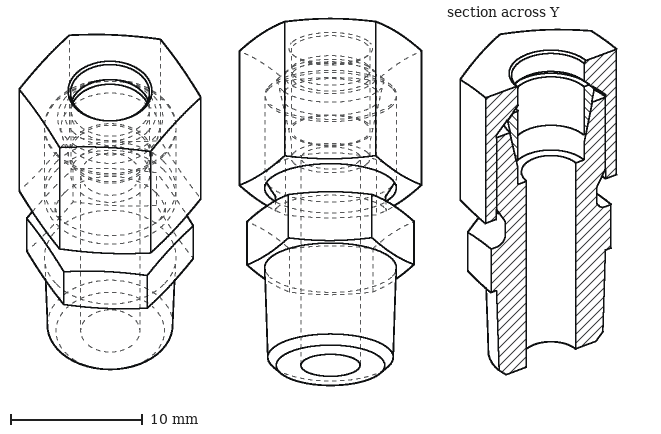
import cadquery as cq
import math


total_height = 26
body_hex_bottom = 8.0
body_hex_top = 12.0
nut_bottom = 14.5
body_top = 22.0

hex_half_angle = 30
nut_corners = 13.85
nut_flats = nut_corners * math.cos(math.radians(hex_half_angle))
body_hex_flats = 11.0
hex_chamfer_angle = 15

taper_top_radius = 10.0 / 2
taper_on_diameter = 1 / 16
foot_chamfer = 0.65
foot_edge_radius = taper_top_radius - (body_hex_bottom - foot_chamfer) * taper_on_diameter / 2
foot_radius = foot_edge_radius - foot_chamfer

thread_radius = 10.0 / 2
neck_radius = 8.4 / 2
neck_fillet = thread_radius - neck_radius
neck_length = 1.0
runout_angle = math.radians(30)

through_radius = 4.5 / 2
tube_radius = 6.0 / 2
tube_stop_height = 17.0
nut_bore_chamfer = 0.18
nut_bore_length = 1.82

ring_top_radius = 7.0 / 2
ring_max_radius = 8.0 / 2
ring_end_radius = 6.35 / 2
seat_slope = math.tan(math.radians(12))
clamp_cone_top = total_height - nut_bore_length
ring_top = clamp_cone_top - (ring_top_radius - tube_radius)
ring_shoulder = ring_top - (ring_max_radius - ring_top_radius)


def seat_height(radius):
    """Height at which the 24 degree seat cone has the given radius."""
    return ring_shoulder - (ring_max_radius - radius) / seat_slope


def seat_radius(height):
    """Radius of the 24 degree seat cone at the given height."""
    return ring_max_radius - (ring_shoulder - height) * seat_slope


def turn(profile):
    """Revolve a closed radius-height profile about the Z axis."""
    return profile.close().revolve(360, (0, 0, 0), (0, 1, 0))


def chamfered_hexagon(flats, bottom, top):
    """Hexagonal prism with corners on Y, its corners cut by a cone at both ends."""
    flat_radius = flats / 2
    corner_radius = flat_radius / math.cos(math.radians(hex_half_angle))
    drop = (corner_radius - flat_radius) * math.tan(math.radians(hex_chamfer_angle))
    prism = (
        cq.Workplane("XY", origin=(0, 0, bottom))
        .polygon(6, 2 * corner_radius)
        .extrude(top - bottom)
        .rotate((0, 0, 0), (0, 0, 1), hex_half_angle)
    )
    envelope = turn(
        cq.Workplane("XZ")
        .moveTo(0, bottom)
        .lineTo(flat_radius, bottom)
        .lineTo(corner_radius, bottom + drop)
        .lineTo(corner_radius, top - drop)
        .lineTo(flat_radius, top)
        .lineTo(0, top)
    )
    return prism.intersect(envelope)


def make_foot():
    """Taper-threaded foot below the body hexagon."""
    return turn(
        cq.Workplane("XZ")
        .lineTo(foot_radius, 0)
        .lineTo(foot_edge_radius, foot_chamfer)
        .lineTo(taper_top_radius, body_hex_bottom)
        .lineTo(0, body_hex_bottom)
    )


def make_threaded_neck():
    """Thread for the nut; the groove below it has a lower fillet and a sloping run-out."""
    neck_bottom = body_hex_top + neck_fillet
    neck_top = neck_bottom + neck_length

    def upper_fillet(angle):
        return (
            thread_radius - neck_fillet * math.cos(angle),
            neck_top + neck_fillet * math.sin(angle),
        )

    runout_start_radius, runout_start = upper_fillet(runout_angle)
    runout_end = runout_start + (thread_radius - runout_start_radius) / math.tan(runout_angle)
    return turn(
        cq.Workplane("XZ")
        .moveTo(0, body_hex_top)
        .lineTo(thread_radius, body_hex_top)
        .radiusArc((neck_radius, neck_bottom), neck_fillet)
        .lineTo(neck_radius, neck_top)
        .threePointArc(upper_fillet(runout_angle / 2), (runout_start_radius, runout_start))
        .lineTo(thread_radius, runout_end)
        .lineTo(thread_radius, body_top)
        .lineTo(0, body_top)
    )


def make_body_bore():
    """Through bore, tube socket and conical mouth, as one solid to cut away."""
    return turn(
        cq.Workplane("XZ")
        .lineTo(through_radius, 0)
        .lineTo(through_radius, tube_stop_height)
        .lineTo(tube_radius, tube_stop_height)
        .lineTo(tube_radius, seat_height(tube_radius))
        .lineTo(seat_radius(body_top), body_top)
        .lineTo(0, body_top)
    )


def make_body():
    """Foot, hexagon and threaded neck in one piece, bored through."""
    hexagon = chamfered_hexagon(body_hex_flats, body_hex_bottom, body_hex_top)
    return make_foot().union(hexagon).union(make_threaded_neck()).cut(make_body_bore())


def make_cutting_ring():
    """Ring with a 45 degree shoulder for the nut and a taper that sits in the body's mouth."""
    return turn(
        cq.Workplane("XZ")
        .moveTo(tube_radius, seat_height(ring_end_radius))
        .lineTo(ring_end_radius, seat_height(ring_end_radius))
        .lineTo(ring_max_radius, ring_shoulder)
        .lineTo(ring_top_radius, ring_top)
        .lineTo(tube_radius, ring_top)
    )


def make_nut():
    """Hexagonal nut: chamfered tube bore, 45 degree clamping cone and thread bore."""
    clamp_cone_bottom = clamp_cone_top - (thread_radius - tube_radius)
    cavity = turn(
        cq.Workplane("XZ")
        .moveTo(0, nut_bottom)
        .lineTo(thread_radius, nut_bottom)
        .lineTo(thread_radius, clamp_cone_bottom)
        .lineTo(tube_radius, clamp_cone_top)
        .lineTo(tube_radius, total_height - nut_bore_chamfer)
        .lineTo(tube_radius + nut_bore_chamfer, total_height)
        .lineTo(0, total_height)
    )
    return chamfered_hexagon(nut_flats, nut_bottom, total_height).cut(cavity)


body = make_body()
cutting_ring = make_cutting_ring()
nut = make_nut()

result = cq.Compound.makeCompound([body.solids().val(), cutting_ring.val(), nut.solids().val()])